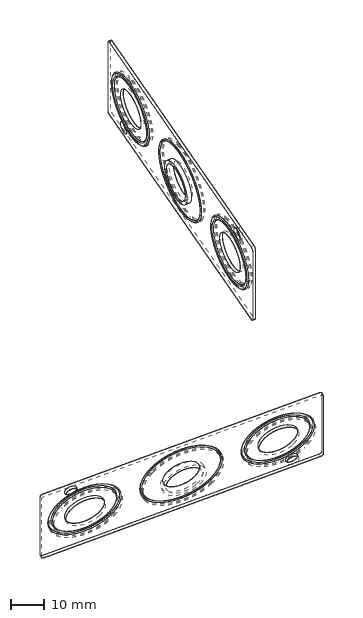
import cadquery as cq

plate_length = 92.0
plate_height = 34.0
plate_thickness = 1.0
corner_radius = 1.0

boss_height = 1.5
boss_diameter = 14.4

middle_port_diameter = 12.0
side_port_diameter = 13.0
side_port_offset = 31.5

bead_height = 0.35
flank_run = bead_height
side_bead_outer_diameter = 24.0
side_bead_crest_width = 0.9
middle_bead_outer_diameter = 27.0
middle_bead_crest_width = 0.0

pin_hole_diameter = 4.0
pin_hole_x = 36.0
pin_hole_z = 13.5

total_depth = bead_height + plate_thickness + boss_height
boss_face_y = -total_depth / 2
plate_front_y = boss_face_y + boss_height
plate_back_y = plate_front_y + plate_thickness


def cylinder(x, z, diameter, front_y, back_y):
    """Cylinder along Y between two Y levels."""
    base = cq.Workplane("XZ", origin=(x, front_y, z))
    return base.circle(diameter / 2).extrude(front_y - back_y)


def through_hole(x, z, diameter):
    """Cutter that passes through the full depth of the part."""
    return cylinder(x, z, diameter, -total_depth, total_depth)


def make_plate():
    """Flat rectangular plate with rounded corners."""
    base = cq.Workplane("XZ", origin=(0, plate_front_y, 0))
    plate = base.rect(plate_length, plate_height).extrude(-plate_thickness)
    return plate.edges("|Y").fillet(corner_radius)


def bead(x, outer_diameter, crest_width):
    """Ring passing through the plate, with a tapered ridge on each face."""
    outer_foot = outer_diameter / 2
    outer_crest = outer_foot - flank_run
    inner_crest = outer_crest - crest_width
    inner_foot = inner_crest - flank_run
    front_crest_y = plate_front_y - bead_height
    back_crest_y = plate_back_y + bead_height
    has_flat_crest = crest_width > 0

    section = cq.Workplane("XY").moveTo(inner_foot, plate_front_y)
    section = section.lineTo(inner_crest, front_crest_y)
    if has_flat_crest:
        section = section.lineTo(outer_crest, front_crest_y)
    section = section.lineTo(outer_foot, plate_front_y)
    section = section.lineTo(outer_foot, plate_back_y)
    section = section.lineTo(outer_crest, back_crest_y)
    if has_flat_crest:
        section = section.lineTo(inner_crest, back_crest_y)
    section = section.lineTo(inner_foot, plate_back_y).close()
    ring = section.revolve(360, (0, 0, 0), (0, 1, 0))
    return ring.translate((x, 0, 0))


result = make_plate()
result = result.union(cylinder(0, 0, boss_diameter, boss_face_y, plate_back_y))
result = result.union(bead(0, middle_bead_outer_diameter, middle_bead_crest_width))
result = result.cut(through_hole(0, 0, middle_port_diameter))

for side in (-1, 1):
    port_x = side * side_port_offset
    result = result.union(bead(port_x, side_bead_outer_diameter, side_bead_crest_width))
    result = result.cut(through_hole(port_x, 0, side_port_diameter))
    result = result.cut(through_hole(side * pin_hole_x, side * pin_hole_z, pin_hole_diameter))